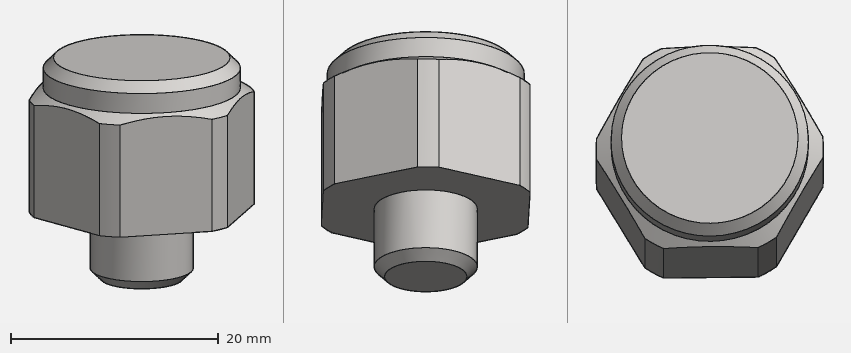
import cadquery as cq
import math

total_height = 22.0
hex_bottom = 7.0
cap_bottom = 19.0

across_flats = 19.9
corner_diameter = 21.9
cap_diameter = 19.0
pin_diameter = 9.95

edge_chamfer = 1.01
hex_bevel_angle = 30.0


def turned_envelope():
    """Revolved pin, corner cylinder, conical bevel and cap."""
    pin_radius = pin_diameter / 2
    corner_radius = corner_diameter / 2
    cap_radius = cap_diameter / 2
    bevel_drop = (corner_radius - cap_radius) * math.tan(math.radians(hex_bevel_angle))
    profile = [
        (0, 0),
        (pin_radius - edge_chamfer, 0),
        (pin_radius, edge_chamfer),
        (pin_radius, hex_bottom),
        (corner_radius, hex_bottom),
        (corner_radius, cap_bottom - bevel_drop),
        (cap_radius, cap_bottom),
        (cap_radius, total_height - edge_chamfer),
        (cap_radius - edge_chamfer, total_height),
        (0, total_height),
    ]
    return cq.Workplane("XZ").polyline(profile).close().revolve(360, (0, 0), (0, 1))


def hexagonal_bar():
    """Full-height hexagon with flats facing +X and -X."""
    across_corners = across_flats / math.cos(math.radians(30))
    bar = cq.Workplane("XY").polygon(6, across_corners).extrude(total_height)
    return bar.rotate((0, 0, 0), (0, 0, 1), 30)


result = turned_envelope().intersect(hexagonal_bar())